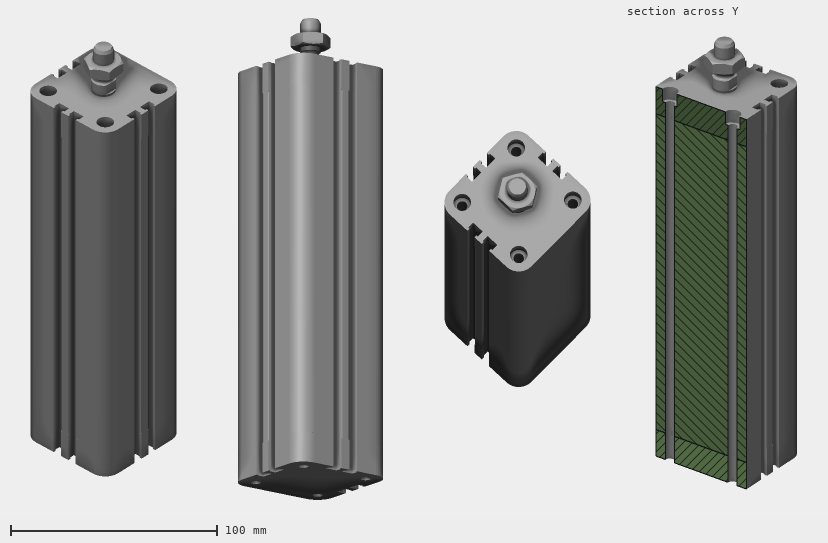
import cadquery as cq
import math

total_height = 231.0
body_width = 55.0
body_height = 205.1
cap_height = 15.0
corner_radius = 8.5
half_width = body_width / 2
tube_height = body_height - 2 * cap_height
top_cap_bottom = body_height - cap_height

hole_spacing = body_width - 2 * corner_radius
hole_diameter = 5.0
counterbore_diameter = 8.5
counterbore_depth = 7.0

slotted_side_angles = (-90, 0, 90)
slot_offset = 4.9
slot_mouth_width = 4.9
slot_inner_width = 6.5
slot_depth = 4.9
slot_lip = 1.5

rib_half_width = slot_offset - slot_mouth_width / 2
rib_bevel_width = 0.7
rib_bevel_depth = 0.2

rod_diameter = 12.0
rod_base_diameter = 11.8
rod_base_height = 0.5
rod_taper_top = 1.2
rod_flats_bottom = 1.5
rod_shoulder = 6.7
rod_across_flats = 10.0
thread_diameter = 10.0
undercut_depth = 1.0
undercut_height = 3.0
tip_diameter = 8.0
tip_chamfer_height = 1.6

nut_across_flats = 17.0
nut_height = 6.0
nut_bottom = 217.0
nut_chamfer_angle = 30
nut_turn = 30


def corner_hole_centres(z):
    """Workplane at height z with a point at each screw hole."""
    square = cq.Workplane().workplane(offset=z).rect(hole_spacing, hole_spacing, forConstruction=True)
    return square.vertices()


def t_slot(height):
    """Solid filling one T-slot that opens through the -Y side at x = 0."""
    mouth = cq.Workplane().box(slot_mouth_width, slot_depth, height, centered=(True, False, False))
    recess = (
        cq.Workplane()
        .box(slot_inner_width, slot_depth - slot_lip, height, centered=(True, False, False))
        .translate((0, slot_lip, 0))
    )
    return mouth.union(recess).translate((0, -half_width, 0))


def cut_on_slotted_sides(block, cutter):
    """Cut a shape made for the -Y side, and its mirror image in X, into every slotted side."""
    for cutter_half in (cutter, cutter.mirror("YZ")):
        for angle in slotted_side_angles:
            block = block.cut(cutter_half.rotate((0, 0, 0), (0, 0, 1), angle))
    return block


def make_profile(height):
    """Rounded square block with the twin T-slots and the four screw holes."""
    block = cq.Workplane().rect(body_width, body_width).extrude(height)
    block = block.edges("|Z").fillet(corner_radius)
    block = cut_on_slotted_sides(block, t_slot(height).translate((slot_offset, 0, 0)))
    return block.cut(corner_hole_centres(0).circle(hole_diameter / 2).extrude(height))


def make_tube():
    """Profile tube, whose ribs between the slots have bevelled outer edges."""
    bevel = (
        cq.Workplane()
        .moveTo(rib_half_width - rib_bevel_width, -half_width)
        .lineTo(rib_half_width, -half_width)
        .lineTo(rib_half_width, -half_width + rib_bevel_depth)
        .close()
        .extrude(tube_height)
    )
    return cut_on_slotted_sides(make_profile(tube_height), bevel).translate((0, 0, cap_height))


def make_rod():
    """Piston rod, turned about Z, with a wrench flat on the -X and +X sides."""
    base_radius = rod_base_diameter / 2
    rod_radius = rod_diameter / 2
    thread_radius = thread_diameter / 2
    shoulder_z = body_height + rod_shoulder
    undercut_middle = (thread_radius - undercut_depth, shoulder_z + undercut_height / 2)
    undercut_top = (thread_radius, shoulder_z + undercut_height)
    turned = (
        cq.Workplane("XZ")
        .moveTo(0, top_cap_bottom)
        .lineTo(base_radius, top_cap_bottom)
        .lineTo(base_radius, body_height + rod_base_height)
        .lineTo(rod_radius, body_height + rod_taper_top)
        .lineTo(rod_radius, shoulder_z)
        .lineTo(thread_radius, shoulder_z)
        .threePointArc(undercut_middle, undercut_top)
        .lineTo(thread_radius, total_height - tip_chamfer_height)
        .lineTo(tip_diameter / 2, total_height)
        .lineTo(0, total_height)
        .close()
        .revolve()
    )
    flats_height = rod_shoulder - rod_flats_bottom
    full_disc = cq.Workplane().circle(rod_diameter).extrude(flats_height)
    between_flats = cq.Workplane().rect(rod_across_flats, 2 * rod_diameter).extrude(flats_height)
    outside_flats = full_disc.cut(between_flats).translate((0, 0, body_height + rod_flats_bottom))
    return turned.cut(outside_flats)


def make_top_cap(rod):
    """Top cap, with counterbored screw holes and the bore that the rod runs in."""
    cap = make_profile(cap_height).translate((0, 0, top_cap_bottom))
    counterbore_floor = corner_hole_centres(body_height - counterbore_depth)
    cap = cap.cut(counterbore_floor.circle(counterbore_diameter / 2).extrude(counterbore_depth))
    return cap.cut(rod)


def make_nut():
    """Hexagon nut with flats on the -X and +X sides and both ends chamfered."""
    flat_radius = nut_across_flats / 2
    hexagon_radius = flat_radius / math.cos(math.pi / 6)
    corner_drop = (hexagon_radius - flat_radius) * math.tan(math.radians(nut_chamfer_angle))
    hexagon = (
        cq.Workplane()
        .polygon(6, 2 * hexagon_radius)
        .circle(thread_diameter / 2)
        .extrude(nut_height)
        .rotate((0, 0, 0), (0, 0, 1), nut_turn)
    )
    chamfered_disc = (
        cq.Workplane("XZ")
        .lineTo(flat_radius, 0)
        .lineTo(hexagon_radius, corner_drop)
        .lineTo(hexagon_radius, nut_height - corner_drop)
        .lineTo(flat_radius, nut_height)
        .lineTo(0, nut_height)
        .close()
        .revolve()
    )
    return hexagon.intersect(chamfered_disc).translate((0, 0, nut_bottom))


bottom_cap = make_profile(cap_height)
tube = make_tube()
rod = make_rod()
top_cap = make_top_cap(rod)
nut = make_nut()

result = cq.Compound.makeCompound(
    [bottom_cap.val(), tube.val(), top_cap.val(), rod.val(), nut.val()]
)